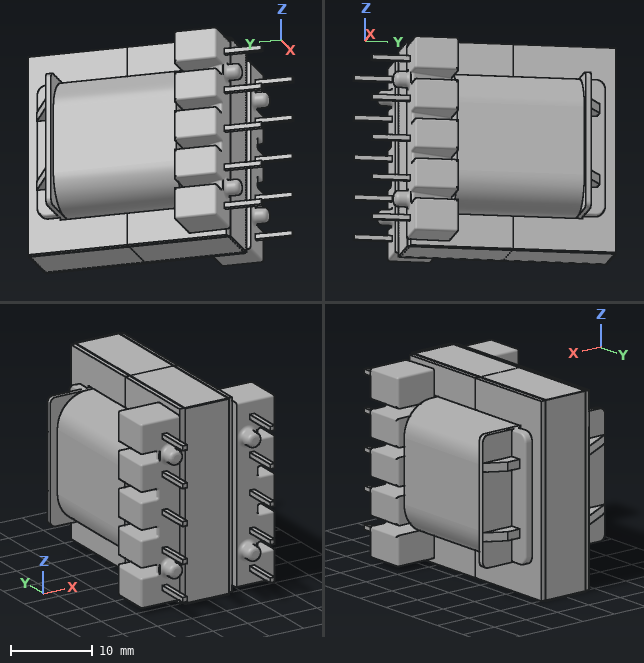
import cadquery as cq


CORE_HALF_X = 3.8
CORE_HALF_Y = 12.82
CORE_HALF_Z = 25.73 / 2
WINDOW_HALF_Y = 8.68
WINDOW_HALF_Z = 8.77
CENTRE_LEG_HALF_Z = 3.73

TAPE_THICKNESS = 0.1
TAPE_HALF_X = 3.17
TAPE_GAP_FRONT = 0.28

BOBBIN_HALF_X = 9.7
FLANGE_HALF_Z = 8.55
FLANGE_THICKNESS = 0.68
FRONT_FLANGE_HALF_X = 4.2
FLANGE_CORNER_RADIUS = 0.78
TUBE_WALL = 0.68
RIB_INNER_X = 4.0
RIB_OUTER_X = 5.1
RIB_HEIGHT = 2.6
RIB_CORNER_RADIUS = 1.18
RIB_EDGE_FILLET = 0.28
GUSSET_THICKNESS = 1.15
GUSSET_Z = 4.48
LOW_GUSSET_HEIGHT = 1.55
LOW_GUSSET_TOP_X = 7.0

BLOCK_BACK_Y = -7.9
BLOCK_FRONT_Y = -13.4
BLOCK_HALF_Z = 12.23
BLOCK_INNER_BACK_X = 3.9
BLOCK_INNER_FRONT_X = 4.1
BLOCK_FILLET = 0.3
PITCH = 5.0
SLOT_WIDTH = 1.25
SLOT_FLOOR_FRONT_X = 7.47
SLOT_FLOOR_BACK_X = 4.75
SLOT_CORNER_RADIUS = 0.2

PIN_SIZE = 0.65
PIN_X = 6.3
PIN_TIP_Y = -18.2
PIN_ROWS = [-2, -1, 0, 1, 2]
STANDOFF_X = 5.65
STANDOFF_RADIUS = 1.0
STANDOFF_LENGTH = 1.87
STANDOFF_ROOT_FILLET = 0.5
STANDOFF_TIP_FILLET = 0.53

WINDING_HALF_X = 8.68
WINDING_HALF_Z = 8.55
WINDING_CORNER_RADIUS = 4.3

SLOT_ROWS = [-1.5, -0.5, 0.5, 1.5]
STANDOFF_ROWS = [-1.5, 1.5]
FLANGE_INNER_Y = WINDOW_HALF_Y - FLANGE_THICKNESS
TUBE_HALF_X = CORE_HALF_X + TUBE_WALL
TUBE_HALF_Z = CENTRE_LEG_HALF_Z + TUBE_WALL


def box(x0, x1, y0, y1, z0, z1):
    """Axis-aligned box between the given limits."""
    return cq.Workplane("XY").box(x1 - x0, y1 - y0, z1 - z0, centered=False).translate((x0, y0, z0))


def centred_box(half_x, y0, y1, half_z):
    """Box centred on the Y axis that runs from y0 to y1."""
    return box(-half_x, half_x, y0, y1, -half_z, half_z)


def make_core_half(direction):
    """E-shaped half on the +Y (direction 1) or -Y (direction -1) side of the joint."""
    half = centred_box(CORE_HALF_X, 0, CORE_HALF_Y, CORE_HALF_Z)
    half = half.cut(centred_box(CORE_HALF_X, 0, WINDOW_HALF_Y, WINDOW_HALF_Z))
    half = half.union(centred_box(CORE_HALF_X, 0, WINDOW_HALF_Y, CENTRE_LEG_HALF_Z))
    return half if direction > 0 else half.mirror("XZ")


def make_tape():
    """Thin closed band around the core, standing off its -Y end."""
    inner_y = -CORE_HALF_Y - TAPE_GAP_FRONT
    outer = centred_box(
        TAPE_HALF_X, inner_y - TAPE_THICKNESS, CORE_HALF_Y + TAPE_THICKNESS, CORE_HALF_Z + TAPE_THICKNESS
    )
    return outer.cut(centred_box(TAPE_HALF_X, inner_y, CORE_HALF_Y, CORE_HALF_Z))


def make_winding():
    """Rounded coil around the bobbin tube, filling the space between the flanges."""
    coil = centred_box(WINDING_HALF_X, BLOCK_BACK_Y, FLANGE_INNER_Y, WINDING_HALF_Z)
    coil = coil.edges("|Y").fillet(WINDING_CORNER_RADIUS)
    return coil.cut(centred_box(TUBE_HALF_X, BLOCK_BACK_Y, FLANGE_INNER_Y, TUBE_HALF_Z))


def make_spool():
    """Tube with the +Y flange and the short -Y flange inside the core window."""
    flange = centred_box(BOBBIN_HALF_X, FLANGE_INNER_Y, WINDOW_HALF_Y, FLANGE_HALF_Z)
    flange = flange.edges("|Y").fillet(FLANGE_CORNER_RADIUS)
    front_flange = centred_box(FRONT_FLANGE_HALF_X, -WINDOW_HALF_Y, BLOCK_BACK_Y, FLANGE_HALF_Z)
    tube = centred_box(TUBE_HALF_X, -WINDOW_HALF_Y, WINDOW_HALF_Y, TUBE_HALF_Z)
    leg_hole = centred_box(CORE_HALF_X, -WINDOW_HALF_Y, WINDOW_HALF_Y, CENTRE_LEG_HALF_Z)
    return flange.union(front_flange).union(tube).cut(leg_hole)


def make_rib():
    """Upright wall on the +X half of the +Y flange, beside the core."""
    rib = box(
        RIB_INNER_X, RIB_OUTER_X, WINDOW_HALF_Y, WINDOW_HALF_Y + RIB_HEIGHT, -FLANGE_HALF_Z, FLANGE_HALF_Z
    )
    rib = rib.edges("|X and >Y").fillet(RIB_CORNER_RADIUS)
    return rib.faces(">X").edges("not <Y").fillet(RIB_EDGE_FILLET)


def make_gussets(outline):
    """Pair of gussets that share one outline in the XY plane."""
    plate = cq.Workplane("XY").polyline(outline).close().extrude(GUSSET_THICKNESS / 2, both=True)
    return plate.translate((0, 0, GUSSET_Z)).union(plate.translate((0, 0, -GUSSET_Z)))


def make_left_gussets():
    """Full-height gussets on the -X side, sloping from the rib top to the flange rim."""
    return make_gussets([
        (-RIB_INNER_X, WINDOW_HALF_Y),
        (-RIB_OUTER_X, WINDOW_HALF_Y + RIB_HEIGHT),
        (-BOBBIN_HALF_X, WINDOW_HALF_Y),
    ])


def make_right_gussets():
    """Low flat-topped gussets on the +X side."""
    low_top_y = WINDOW_HALF_Y + LOW_GUSSET_HEIGHT
    return make_gussets([
        (RIB_INNER_X, WINDOW_HALF_Y),
        (RIB_INNER_X, low_top_y),
        (LOW_GUSSET_TOP_X, low_top_y),
        (BOBBIN_HALF_X, WINDOW_HALF_Y),
    ])


def make_slot(row):
    """Wire slot through the +X block, its floor deepening towards the coil."""
    slot = (
        cq.Workplane("XY")
        .polyline([
            (SLOT_FLOOR_FRONT_X, BLOCK_FRONT_Y),
            (BOBBIN_HALF_X, BLOCK_FRONT_Y),
            (BOBBIN_HALF_X, BLOCK_BACK_Y),
            (SLOT_FLOOR_BACK_X, BLOCK_BACK_Y),
        ])
        .close()
        .extrude(SLOT_WIDTH / 2, both=True)
    )
    slot = slot.faces("<X").edges("not |Z").fillet(SLOT_CORNER_RADIUS)
    return slot.translate((0, 0, row * PITCH))


def make_block():
    """Terminal block on the +X side, with a drafted inner face, wire slots and rounded edges."""
    block = (
        cq.Workplane("XY")
        .polyline([
            (BLOCK_INNER_BACK_X, BLOCK_BACK_Y),
            (BOBBIN_HALF_X, BLOCK_BACK_Y),
            (BOBBIN_HALF_X, BLOCK_FRONT_Y),
            (BLOCK_INNER_FRONT_X, BLOCK_FRONT_Y),
        ])
        .close()
        .extrude(BLOCK_HALF_Z, both=True)
    )
    for row in SLOT_ROWS:
        block = block.cut(make_slot(row))
    clear_of_inner_face = cq.selectors.BoxSelector(
        (BLOCK_INNER_FRONT_X + BLOCK_FILLET / 2, BLOCK_FRONT_Y - BLOCK_FILLET, -2 * BLOCK_HALF_Z),
        (BOBBIN_HALF_X + BLOCK_FILLET, BLOCK_BACK_Y + BLOCK_FILLET, 2 * BLOCK_HALF_Z),
    )
    block = block.faces("<Y or >X or >Z or <Z").edges(clear_of_inner_face)
    return block.fillet(BLOCK_FILLET)


def make_pin(row):
    """Square pin on the +X block."""
    z = row * PITCH
    half = PIN_SIZE / 2
    return box(PIN_X - half, PIN_X + half, PIN_TIP_Y, BLOCK_FRONT_Y, z - half, z + half)


def make_standoff(row):
    """Round standoff with a flared root and a rounded tip."""
    tip_y = BLOCK_FRONT_Y - STANDOFF_LENGTH
    root_radius = STANDOFF_RADIUS + STANDOFF_ROOT_FILLET
    post = (
        cq.Workplane("XY")
        .moveTo(0, BLOCK_FRONT_Y)
        .lineTo(root_radius, BLOCK_FRONT_Y)
        .radiusArc((STANDOFF_RADIUS, BLOCK_FRONT_Y - STANDOFF_ROOT_FILLET), -STANDOFF_ROOT_FILLET)
        .lineTo(STANDOFF_RADIUS, tip_y + STANDOFF_TIP_FILLET)
        .radiusArc((STANDOFF_RADIUS - STANDOFF_TIP_FILLET, tip_y), STANDOFF_TIP_FILLET)
        .lineTo(0, tip_y)
        .close()
        .revolve(360, (0, 0, 0), (0, 1, 0))
    )
    return post.translate((STANDOFF_X, 0, row * PITCH))


def make_bobbin():
    """Spool with ribs, gussets, terminal blocks, pins and standoffs as one moulding."""
    side = make_rib().union(make_block())
    for row in PIN_ROWS:
        side = side.union(make_pin(row))
    for row in STANDOFF_ROWS:
        side = side.union(make_standoff(row))
    bobbin = make_spool().union(side).union(side.mirror("YZ"))
    return bobbin.union(make_left_gussets()).union(make_right_gussets())


core_halves = [make_core_half(direction) for direction in (1, -1)]
tape = make_tape()
winding = make_winding()
bobbin = make_bobbin()

result = cq.Compound.makeCompound(
    [*[half.val() for half in core_halves], tape.val(), winding.val(), bobbin.val()]
)